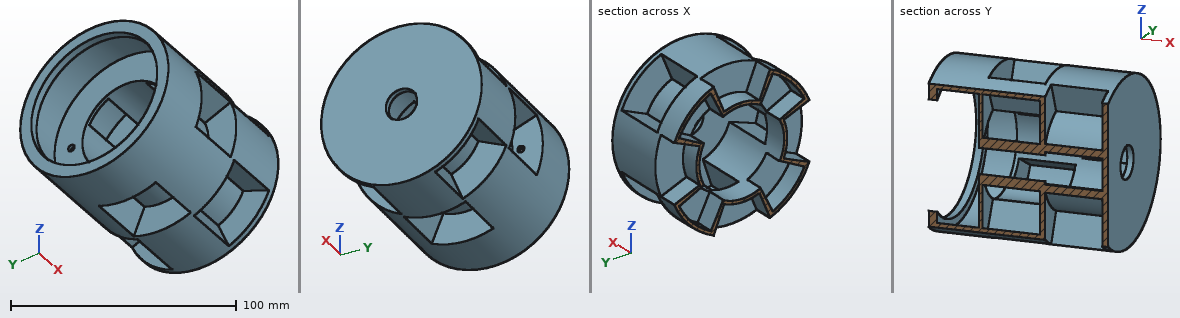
import cadquery as cq
import math

length = 86.0
outer_radius = 40.0
skin = 2.0
end_wall = 3.0
shaft_hole_radius = 7.7

lip_radius = 34.0
lip_length = 4.0
recess_radius = outer_radius - skin
recess_depth = 24.0

pin_hole_radius = 1.6
pin_hole_offset = 29.0

pocket_length = 27.1
pocket_floor_radius = 24.9
pocket_angle = 45.0
pockets_per_ring = 4
first_ring_start = recess_depth + skin
second_ring_start = length - end_wall - pocket_length

bore_radius = pocket_floor_radius - skin
bore_end = length - end_wall
hollow_angle = 37.0
hollow_outer_radius = recess_radius


def cylinder_along_x(start, end, radius):
    """Cylinder about the X axis between two X positions."""
    return cq.Workplane("YZ").workplane(offset=start).circle(radius).extrude(end - start)


def ring_sector(start, inner_radius, sector_outer_radius, angle):
    """Sector of a ring, one pocket long, centred on +Y."""
    end = start + pocket_length
    reach = 2 * sector_outer_radius
    half_width = reach * math.tan(math.radians(angle / 2))
    wedge = (
        cq.Workplane("YZ")
        .workplane(offset=start)
        .polyline([(0, 0), (reach, -half_width), (reach, half_width)])
        .close()
        .extrude(pocket_length)
    )
    core = cylinder_along_x(start, end, inner_radius)
    return cylinder_along_x(start, end, sector_outer_radius).cut(core).intersect(wedge)


def turned(shape, angle):
    """Shape rotated about the X axis."""
    return shape.rotate((0, 0, 0), (1, 0, 0), angle)


def cut_pocket_ring(body, start, first_angle):
    """Cut outer pockets, alternating with hollows that open into the bore."""
    pocket = ring_sector(start, pocket_floor_radius, outer_radius + skin, pocket_angle)
    hollow = ring_sector(start, bore_radius - skin, hollow_outer_radius, hollow_angle)
    pitch = 360 / pockets_per_ring
    for index in range(pockets_per_ring):
        pocket_turn = first_angle + index * pitch
        body = body.cut(turned(pocket, pocket_turn))
        body = body.cut(turned(hollow, pocket_turn + pitch / 2))
    return body


result = cylinder_along_x(0, length, outer_radius)
result = result.cut(cylinder_along_x(0, lip_length, lip_radius))
result = result.cut(cylinder_along_x(lip_length, recess_depth, recess_radius))
result = result.cut(cylinder_along_x(recess_depth, bore_end, bore_radius))
result = result.cut(cylinder_along_x(bore_end, length, shaft_hole_radius))

pin_hole = cylinder_along_x(recess_depth, first_ring_start, pin_hole_radius)
for side in (-1, 1):
    result = result.cut(pin_hole.translate((0, side * pin_hole_offset, 0)))

result = cut_pocket_ring(result, first_ring_start, 0)
result = cut_pocket_ring(result, second_ring_start, pocket_angle)